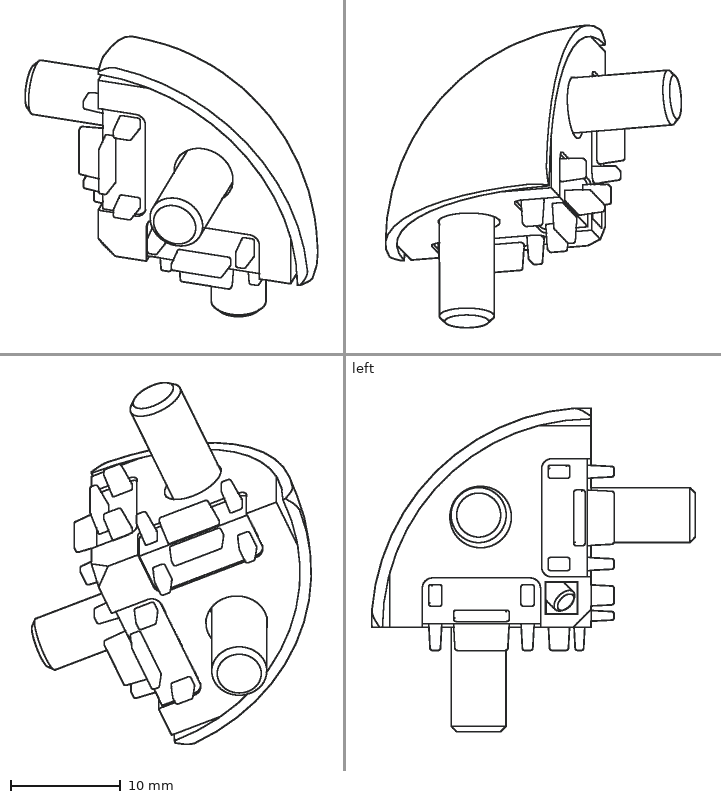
import cadquery as cq
import math

ORIGIN = (0, 0, 0)
DIAGONAL = (1, 1, 1)
THIRD_TURN = 120

ball_radius = 20.0
pin_protrusion = 9.5

core_radius = 18.97
core_flat = 18.32
corner_cut = 1.65
tip_setback = 1.33
tip_rounding = 1.33
tip_slope = 42.0

pin_radius = 2.5
pin_chamfer = 0.5
pin_center = 10.22
hole_radius = 2.8
hole_center = 10.05
hole_depth = 5.0

recess_depth = 0.35
recess_width = 4.5
recess_start = 4.6
recess_end = 15.35
recess_corner_radius = 0.95
recess_length = recess_end - recess_start
recess_middle = (recess_start + recess_end) / 2

tongue_reach = 2.1
tongue_height = tongue_reach + recess_depth
tongue_taper = 3.0
tongue_fillet = 0.25
blade_width = 1.03
blade_length = 5.07
blade_offset = 1.05
lug_width = 1.97
lug_length = 1.2
lug_offset = 2.92
lug_spacing = 8.4

post_radius = 1.15
post_chamfer = 0.25
post_tip = 2.3
window_size = 2.98
window_center = 2.68
window_depth = window_center + window_size / 2
window_taper = 1.0


def on_each_axis(shape):
    """Return three copies of a shape, turned about the space diagonal."""
    return [shape.rotate(ORIGIN, DIAGONAL, turn * THIRD_TURN) for turn in range(3)]


def ball_octant(radius):
    """Eighth of a ball between the three coordinate planes."""
    cube = cq.Workplane("XY").box(radius, radius, radius, centered=False)
    return cq.Workplane("XY").sphere(radius).intersect(cube)


def pin():
    """Pin along X that rests on the floor of its hole."""
    return (
        cq.Workplane("YZ", origin=(-pin_protrusion, 0, 0))
        .center(pin_center, pin_center)
        .circle(pin_radius)
        .extrude(pin_protrusion + hole_depth)
        .faces("<X")
        .chamfer(pin_chamfer)
    )


def pin_hole():
    """Round blind hole in the X = 0 side."""
    return (
        cq.Workplane("YZ")
        .center(hole_center, hole_center)
        .circle(hole_radius)
        .extrude(hole_depth)
    )


def post():
    """Chamfered post on the space diagonal, ending inside the cover wall."""
    wall_middle = (core_radius + ball_radius) / 2
    tip_distance = post_tip * math.sqrt(3)
    plane = cq.Plane(origin=(post_tip, post_tip, post_tip), xDir=(1, -1, 0), normal=DIAGONAL)
    return (
        cq.Workplane(plane)
        .circle(post_radius)
        .extrude(wall_middle - tip_distance)
        .faces(cq.selectors.DirectionMinMaxSelector(cq.Vector(DIAGONAL), False))
        .chamfer(post_chamfer)
    )


def tip_cutter():
    """What the rounding and its sloped flat remove from the cover tip on the Z axis."""
    slope = math.radians(tip_slope)
    top = math.sqrt(ball_radius**2 - tip_setback**2)

    def on_arc(angle):
        """Distance from the Z axis, and height, where the rounding falls at this angle."""
        return (
            tip_setback - tip_rounding * math.sin(angle),
            top - tip_rounding * (1 - math.cos(angle)),
        )

    flat_start, flat_height = on_arc(slope)
    reach = 2 * tip_setback
    outer_height = flat_height - (reach + flat_start) * math.tan(slope)
    plane = cq.Plane(origin=ORIGIN, xDir=(1, 1, 0), normal=(1, -1, 0))
    return (
        cq.Workplane(plane)
        .moveTo(tip_setback, top)
        .threePointArc(on_arc(slope / 2), (flat_start, flat_height))
        .lineTo(-reach, outer_height)
        .lineTo(-reach, ball_radius + reach)
        .lineTo(tip_setback, ball_radius + reach)
        .close()
        .extrude(reach, both=True)
    )


def cover():
    """Ball-shaped shell with its diagonal post."""
    shell = ball_octant(ball_radius).cut(ball_octant(core_radius))
    for cutter in on_each_axis(tip_cutter()):
        shell = shell.cut(cutter)
    return shell.union(post())


def edge_recess():
    """Recess on the Y = 0 side along the Z edge, rounded away from the edge."""
    return (
        cq.Workplane("XZ")
        .center(0, recess_middle)
        .rect(2 * recess_width, recess_length)
        .extrude(-recess_depth)
        .edges("|Y")
        .fillet(recess_corner_radius)
    )


def tongue(width, length, offset, middle):
    """Tapered tongue on the recess floor of the Y = 0 side, pointing to -Y."""
    return (
        cq.Workplane("XZ", origin=(offset, recess_depth, middle))
        .rect(width, length)
        .extrude(tongue_height, taper=tongue_taper)
        .edges("not >Y")
        .fillet(tongue_fillet)
    )


def edge_tongues():
    """One blade between two lugs, on the Y = 0 side along the Z edge."""
    half_spacing = lug_spacing / 2
    return [
        tongue(blade_width, blade_length, blade_offset, recess_middle),
        tongue(lug_width, lug_length, lug_offset, recess_middle - half_spacing),
        tongue(lug_width, lug_length, lug_offset, recess_middle + half_spacing),
    ]


def mirrored(shape):
    """Swap X and Y, which carries the Y = 0 side onto the X = 0 side."""
    return shape.mirror(cq.Vector(1, -1, 0))


def corner_cutter():
    """Slab beyond the sloped plane that cuts the origin corner."""
    slab_side = 4 * corner_cut
    return (
        cq.Workplane(cq.Plane(origin=(corner_cut, 0, 0), xDir=(1, -1, 0), normal=(-1, -1, -1)))
        .rect(slab_side, slab_side)
        .extrude(corner_cut)
    )


def window():
    """Square window in the X = 0 side, narrowing inward around the end of the post."""
    return (
        cq.Workplane("YZ")
        .center(window_center, window_center)
        .rect(window_size, window_size)
        .extrude(window_depth, taper=window_taper)
    )


def core(cover_body):
    """Inner bracket with its flats, recesses, tongues, pin holes and window."""
    trim = cq.Workplane("XY").box(core_flat, core_flat, core_flat, centered=False)
    body = ball_octant(core_radius).intersect(trim).cut(corner_cutter())
    for side in (edge_recess(), mirrored(edge_recess())):
        for recess in on_each_axis(side):
            body = body.cut(recess)
    for single in edge_tongues():
        for side in (single, mirrored(single)):
            for copy in on_each_axis(side):
                body = body.union(copy)
    for hole in on_each_axis(pin_hole()):
        body = body.cut(hole)
    return body.cut(window()).cut(cover_body)


cover_body = cover()
core_body = core(cover_body)
pins = on_each_axis(pin())

result = cq.Compound.makeCompound(
    [cover_body.val(), core_body.val(), *[single.val() for single in pins]]
)